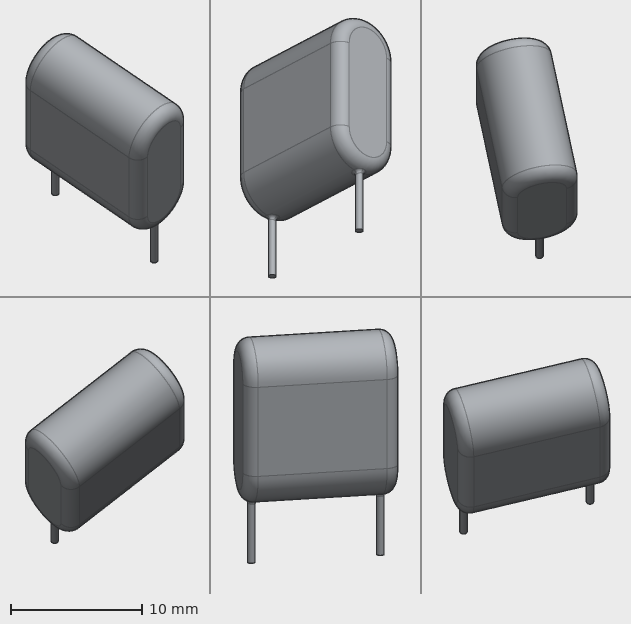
import cadquery as cq

total_height = 18.0
body_width = 12.0
body_depth = 5.81
body_height = 13.0

end_fillet = 1.0

lead_diameter = 0.6
lead_pitch = 10.0
lead_root_fillet = 0.3

lead_length = total_height - body_height
body_center_z = lead_length + body_height / 2
lower_arc_center_z = lead_length + body_depth / 2


def make_body():
    """Upright slot-shaped block along X with both end outlines rounded."""
    block = (
        cq.Workplane("YZ")
        .center(0, body_center_z)
        .slot2D(body_height, body_depth, 90)
        .extrude(body_width / 2, both=True)
    )
    return block.faces("<X or >X").edges().fillet(end_fillet)


def make_lead(x):
    """Straight round wire from its tip up into the body."""
    return cq.Workplane("XY").center(x, 0).circle(lead_diameter / 2).extrude(lower_arc_center_z)


result = make_body()
for lead_x in (-lead_pitch / 2, lead_pitch / 2):
    result = result.union(make_lead(lead_x))

joint_layer = cq.selectors.BoxSelector(
    (-body_width / 2, -lead_diameter, lead_length - lead_diameter / 2),
    (body_width / 2, lead_diameter, lead_length + lead_diameter / 2),
    boundingbox=True,
)
result = result.edges(joint_layer).fillet(lead_root_fillet)